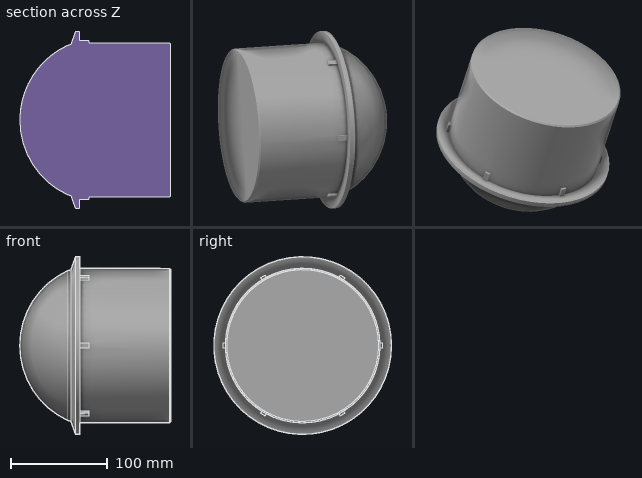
import cadquery as cq
import math

total_length = 156.44
body_diameter = 160.0
body_length = 94.0
body_chamfer = 1.5
flange_diameter = 184.0
flange_thickness = 4.75
cone_length = 4.75
neck_length = 3.6
neck_rear_diameter = 157.0
neck_front_diameter = 155.0

key_count = 6
key_length = 9.5
key_width = 5.4
key_tip_radius = 82.4
key_root_depth = 3.0

body_radius = body_diameter / 2
flange_radius = flange_diameter / 2
neck_rear_radius = neck_rear_diameter / 2
dome_base_radius = neck_front_diameter / 2
flange_front_x = -flange_thickness
cone_front_x = flange_front_x - cone_length
dome_base_x = cone_front_x - neck_length
dome_tip_x = body_length - total_length
dome_height = dome_base_x - dome_tip_x
dome_sphere_radius = (dome_base_radius**2 + dome_height**2) / (2 * dome_height)


def make_turned_body():
    """Dome, neck, flange and cylindrical body as one solid of revolution."""
    half_angle = math.atan2(dome_base_radius, dome_sphere_radius - dome_height) / 2
    sphere_center_x = dome_tip_x + dome_sphere_radius
    arc_mid_x = sphere_center_x - dome_sphere_radius * math.cos(half_angle)
    arc_mid_radius = dome_sphere_radius * math.sin(half_angle)
    profile = (
        cq.Workplane("XY")
        .moveTo(dome_tip_x, 0)
        .threePointArc((arc_mid_x, arc_mid_radius), (dome_base_x, dome_base_radius))
        .lineTo(cone_front_x, neck_rear_radius)
        .lineTo(flange_front_x, flange_radius)
        .lineTo(0, flange_radius)
        .lineTo(0, body_radius)
        .lineTo(body_length - body_chamfer, body_radius)
        .lineTo(body_length, body_radius - body_chamfer)
        .lineTo(body_length, 0)
        .close()
    )
    return profile.revolve(360, (0, 0, 0), (1, 0, 0))


def make_key(angle):
    """One rectangular key, turned about the X axis from the +Y direction."""
    root_radius = body_radius - key_root_depth
    key_height = key_tip_radius - root_radius
    key = cq.Workplane("XY").box(key_length, key_height, key_width, centered=(False, False, True))
    return key.translate((0, root_radius, 0)).rotate((0, 0, 0), (1, 0, 0), angle)


result = make_turned_body()
for index in range(key_count):
    result = result.union(make_key(index * 360 / key_count))